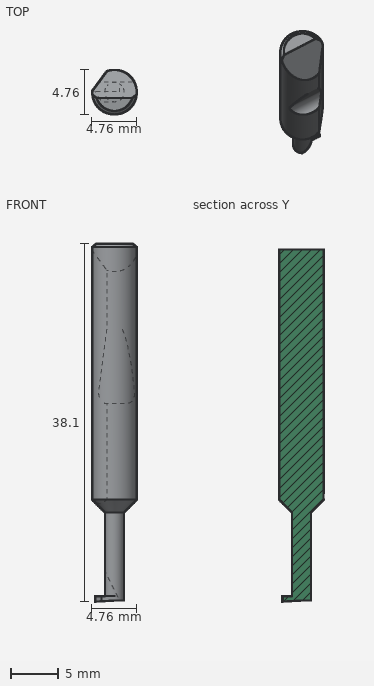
import cadquery as cq
import math

total_length = 38.1
shank_radius = 2.38
neck_radius = 1.03
shank_start = 10.85
cone_height = shank_radius - neck_radius
top_chamfer = 0.4
cutter_size = 15.25

flat_distance = 2.0
flat_angle = 143.5

bevel_edge_y = -0.6

notch_bottom = 21.07
notch_top = 29.85
notch_angle = 10
notch_fillet = 1.15

head_bottom_rise = 0.1
head_top = 0.6
rake_y = 0.08
tip_x = -2.05
heel_x = -1.37
scoop_top = 3.28
scoop_end_x = 0.6


def turned_body():
    """Neck, cone and chamfered shank as one revolved profile."""
    return (
        cq.Workplane("XZ")
        .moveTo(0, head_bottom_rise)
        .lineTo(neck_radius, head_bottom_rise)
        .lineTo(neck_radius, shank_start - cone_height)
        .lineTo(shank_radius, shank_start)
        .lineTo(shank_radius, total_length - top_chamfer)
        .lineTo(shank_radius - top_chamfer, total_length)
        .lineTo(0, total_length)
        .close()
        .revolve(360, (0, 0, 0), (0, 1, 0))
    )


def shank_flat():
    """Block beyond the flat, running along the cone and shank."""
    return (
        cq.Workplane("XY")
        .box(cutter_size, cutter_size, total_length, centered=(False, True, False))
        .translate((flat_distance, 0, 0))
        .rotate((0, 0, 0), (0, 0, 1), flat_angle)
    )


def top_bevel():
    """Wedge above the 45 degree plane that falls toward +Y."""
    run = 2 * shank_radius
    return (
        cq.Workplane("YZ")
        .moveTo(bevel_edge_y, total_length)
        .lineTo(bevel_edge_y + run, total_length - run)
        .lineTo(bevel_edge_y + run, total_length)
        .close()
        .extrude(cutter_size / 2, both=True)
    )


def clamping_notch():
    """Sloped notch with a rounded inner corner at its lower end."""
    slope = math.tan(math.radians(notch_angle))
    floor_y = shank_radius - (notch_top - notch_bottom) * slope
    outer_y = 2 * shank_radius
    outer_z = notch_top + (outer_y - shank_radius) / slope
    return (
        cq.Workplane("YZ")
        .moveTo(floor_y, notch_bottom)
        .lineTo(outer_y, notch_bottom)
        .lineTo(outer_y, outer_z)
        .close()
        .extrude(cutter_size / 2, both=True)
        .edges("|X and <Y")
        .fillet(notch_fillet)
    )


def chip_scoop():
    """Sloping flat relief in the -X, +Y quarter of the neck, above the rake face."""
    return (
        cq.Workplane("XZ", origin=(0, rake_y, 0))
        .moveTo(-neck_radius, scoop_top)
        .lineTo(scoop_end_x, 0)
        .lineTo(-shank_radius, 0)
        .lineTo(-shank_radius, scoop_top)
        .close()
        .extrude(-shank_radius)
    )


def cutting_head():
    """Hooked plate whose underside rises from the tip toward the neck axis."""
    plate = (
        cq.Workplane("XY")
        .polyline([(tip_x, rake_y), (heel_x, -neck_radius), (0, -neck_radius), (0, rake_y)])
        .close()
        .extrude(head_top)
    )
    underside = (
        cq.Workplane("XZ", origin=(0, rake_y, 0))
        .polyline([(tip_x, 0), (0, 0), (0, head_bottom_rise)])
        .close()
        .extrude(neck_radius + rake_y)
    )
    return plate.cut(underside)


body = turned_body()
for cutter in (shank_flat(), top_bevel(), clamping_notch(), chip_scoop()):
    body = body.cut(cutter)

result = body.union(cutting_head())